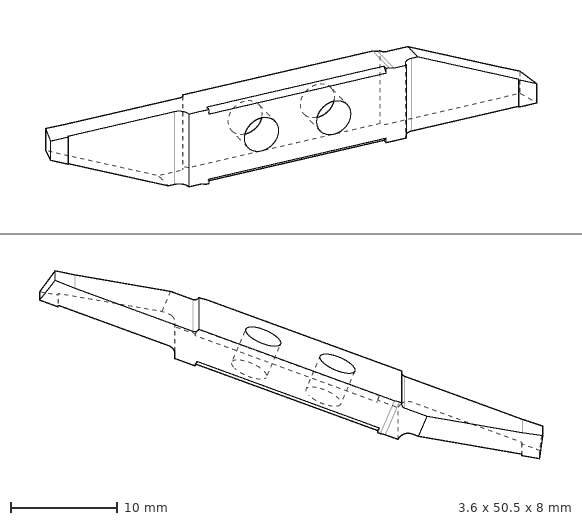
import cadquery as cq

LENGTH = 50.5
THICKNESS = 3.6
HEIGHT = 8.0
HALF_LENGTH = LENGTH / 2
HALF_HEIGHT = HEIGHT / 2

ARM_LEFT = 0.4
ARM_RIGHT = 2.6
TIP_RIGHT = 2.75
TIP_SKEW = 0.62
TIP_LENGTH = 1.85
FLARE_LENGTH = 2.65
FLARE_WIDTH = 0.07
BODY_STEP_Y = 10.25
BODY_STEP_RUN = 0.45
BODY_STEP_RADIUS = 0.45
SHOULDER_Y = 11.3
SHOULDER_RADIUS = THICKNESS - ARM_RIGHT

CENTRE_END_Y = 9.5
RAMP_END_Y = 10.0
EDGE_DROP = 0.15
KNEE_Y = 12.95
TIP_EDGE_Z = -1.92

HOLE_DIAMETER = 3.55
HOLE_SPACING = 7.5

BEVEL_LENGTH = 18.4
BEVEL_WIDTH = 0.5
BEVEL_HEIGHT = 0.5


def half_plan():
    """Plan of the +Y half, extruded over the full height."""
    tip_left = ARM_LEFT - FLARE_WIDTH
    return (
        cq.Workplane("XY", origin=(0, 0, -HALF_HEIGHT))
        .moveTo(0, 0)
        .lineTo(THICKNESS, 0)
        .lineTo(THICKNESS, SHOULDER_Y)
        .radiusArc((ARM_RIGHT, SHOULDER_Y + SHOULDER_RADIUS), SHOULDER_RADIUS)
        .lineTo(ARM_RIGHT, HALF_LENGTH - TIP_LENGTH)
        .lineTo(TIP_RIGHT, HALF_LENGTH - TIP_LENGTH)
        .lineTo(TIP_RIGHT, HALF_LENGTH)
        .lineTo(tip_left, HALF_LENGTH - TIP_SKEW)
        .lineTo(ARM_LEFT, HALF_LENGTH - FLARE_LENGTH)
        .lineTo(ARM_LEFT, BODY_STEP_Y + BODY_STEP_RUN)
        .radiusArc((0, BODY_STEP_Y), BODY_STEP_RADIUS)
        .close()
        .extrude(HEIGHT)
    )


def half_side():
    """Side outline of the +Y half, extruded through the thickness."""
    low_edge = HALF_HEIGHT - EDGE_DROP
    return (
        cq.Workplane("YZ")
        .moveTo(0, -HALF_HEIGHT)
        .lineTo(HALF_LENGTH, -HALF_HEIGHT)
        .lineTo(HALF_LENGTH, TIP_EDGE_Z)
        .lineTo(KNEE_Y, low_edge)
        .lineTo(RAMP_END_Y, low_edge)
        .lineTo(CENTRE_END_Y, HALF_HEIGHT)
        .lineTo(0, HALF_HEIGHT)
        .close()
        .extrude(THICKNESS)
    )


def edge_bevel():
    """Wedge that bevels the +Z edge of the +X face."""
    return (
        cq.Workplane("XZ", origin=(0, BEVEL_LENGTH / 2, 0))
        .moveTo(THICKNESS, HALF_HEIGHT)
        .lineTo(THICKNESS - BEVEL_WIDTH, HALF_HEIGHT)
        .lineTo(THICKNESS, HALF_HEIGHT - BEVEL_HEIGHT)
        .close()
        .extrude(BEVEL_LENGTH)
    )


def half_turn(shape):
    """Shape turned half a turn about X."""
    return shape.rotate((0, 0, 0), (1, 0, 0), 180)


def mounting_holes():
    """Pair of round holes through the thickness."""
    return (
        cq.Workplane("YZ")
        .rarray(HOLE_SPACING, 1, 2, 1)
        .circle(HOLE_DIAMETER / 2)
        .extrude(THICKNESS)
    )


half = half_plan().intersect(half_side())
body = half.union(half_turn(half))
bevel = edge_bevel()
result = body.cut(bevel).cut(half_turn(bevel)).cut(mounting_holes())